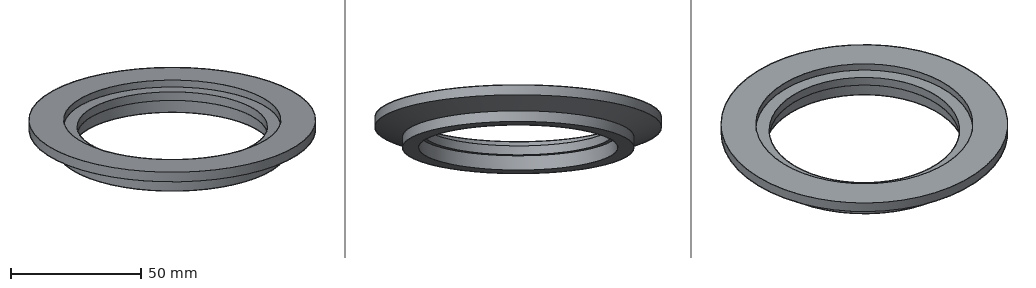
import cadquery as cq

flange_diameter = 110.0
neck_diameter = 88.9
recess_diameter = 83.3
bore_diameter = 73.0
socket_diameter = 76.4

total_height = 12.0
rim_height = 4.0
neck_height = 4.2
recess_depth = 2.9
bore_length = 3.5

rim_bottom = total_height - rim_height
recess_floor = total_height - recess_depth
socket_top = recess_floor - bore_length


def make_flange_body():
    """Flat rim, conical underside and short neck, revolved about Z."""
    profile = (
        cq.Workplane("XZ")
        .lineTo(neck_diameter / 2, 0)
        .lineTo(neck_diameter / 2, neck_height)
        .lineTo(flange_diameter / 2, rim_bottom)
        .lineTo(flange_diameter / 2, total_height)
        .lineTo(0, total_height)
        .close()
    )
    return profile.revolve(360, (0, 0, 0), (0, 1, 0))


def make_cylinder(diameter, bottom, top):
    """Cylinder on the ring axis between two levels."""
    return cq.Workplane("XY").workplane(offset=bottom).circle(diameter / 2).extrude(top - bottom)


recess = make_cylinder(recess_diameter, recess_floor, total_height)
bore = make_cylinder(bore_diameter, 0, total_height)
socket = make_cylinder(socket_diameter, 0, socket_top)

result = make_flange_body().cut(bore).cut(recess).cut(socket)